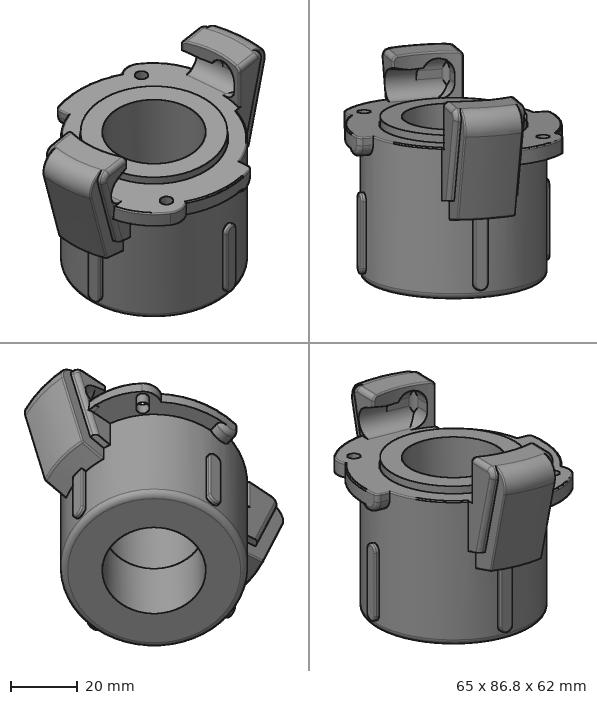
import cadquery as cq
import math

barrel_dia = 56.0
barrel_radius = barrel_dia / 2
barrel_bottom_round = 2.1
flange_top = 47.1
flange_thickness = 4.8
flange_bottom = flange_top - flange_thickness
flange_edge_round = 0.4

sleeve_bore_dia = 31.0
sleeve_dia = 44.0
seat_dia = 44.5
seat_floor = 24.3
sleeve_top = 49.5

lobe_dia = 65.0
lobe_radius = lobe_dia / 2
tab_end_y = -6.9
stop_radius = 4.1
stop_center_y = tab_end_y + stop_radius
stop_center_z = 44.5
tab_end_round = 1.65
tab_sector_angle = 140.0
ear_hole_dia = 4.0
ear_hole_x = -21.6
ear_hole_y = 21.5
ear_radius = 5.9
ear_sweep_center_x = -7.2
ear_sweep_center_y = 8.9
ear_end_x = 0.0

claw_top = 62.0
claw_inner_radius = 29.25
claw_root_radius = 26.0
claw_tilt = math.radians(15)
claw_top_round = 0.5
cheek_width = 22.3
cheek_round_center = 37.3
cheek_round = 2.8
cheek_bottom = 32.0
cheek_side_round = 1.65
strap_width = 18.1
strap_outer_radius = 43.4
strap_round = 5.9
strap_round_center = strap_outer_radius - strap_round
strap_bottom = 26.9
strap_bottom_round = 0.9
strap_side_round = 0.5

groove_radius = 4.95
groove_center_y = 30.1
groove_center_z = flange_top + groove_radius
groove_end_x = 3.65
groove_roof_angle = math.radians(21)
pocket_rise = 2.8
pocket_corner_round = 2.0

rib_width = 4.5
rib_outer_radius = 29.5
rib_bottom = 2.95
rib_top = 28.0
rib_edge_round = 0.5
rib_angles = (0, 90, 180, 270)

overlap = 0.9
half_turn = 180


def half_turn_copy(shape):
    """The same shape turned half a turn about the barrel axis."""
    return shape.rotate((0, 0, 0), (0, 0, 1), half_turn)


def disc(diameter, bottom, top):
    """Upright round disc between two heights."""
    return cq.Workplane("XY").workplane(offset=bottom).circle(diameter / 2).extrude(top - bottom)


def polar(radius, degrees):
    """Plan point at a radius and angle about the barrel axis."""
    angle = math.radians(degrees)
    return (radius * math.cos(angle), radius * math.sin(angle))


def tab():
    """Flange tab: a sector of the lobe circle that ends in a stop with a round underside."""
    stop_back_y = stop_center_y + math.sqrt(stop_radius**2 - (stop_center_z - flange_bottom) ** 2)
    side = (
        cq.Workplane("YZ")
        .moveTo(tab_end_y, flange_top)
        .lineTo(tab_end_y, stop_center_z)
        .threePointArc((stop_center_y, stop_center_z - stop_radius), (stop_back_y, flange_bottom))
        .lineTo(lobe_radius, flange_bottom)
        .lineTo(lobe_radius, flange_top)
        .close()
        .extrude(-lobe_radius - overlap)
    )
    sector = (
        cq.Workplane("XY")
        .moveTo(0, 0)
        .lineTo(0, tab_end_y)
        .lineTo(-2 * lobe_radius, tab_end_y)
        .lineTo(*polar(2 * lobe_radius, tab_sector_angle))
        .close()
        .extrude(flange_top)
    )
    body = side.intersect(disc(lobe_dia, 0, flange_top)).intersect(sector)
    end_corner_x = -math.sqrt(lobe_radius**2 - tab_end_y**2)
    end_edges = cq.selectors.BoxSelector(
        (-lobe_radius - overlap, tab_end_y - overlap, 0),
        (end_corner_x + overlap, stop_center_y + overlap, flange_top - overlap),
    )
    return body.edges(end_edges).fillet(tab_end_round)


def ear():
    """Flange ear around the small hole: a round nose running into a wide arc."""
    reach_x = ear_hole_x - ear_sweep_center_x
    reach_y = ear_hole_y - ear_sweep_center_y
    reach = math.hypot(reach_x, reach_y)
    sweep_radius = reach + ear_radius

    def on_sweep(x):
        return (x, ear_sweep_center_y + math.sqrt(sweep_radius**2 - (x - ear_sweep_center_x) ** 2))

    tangent_x = ear_sweep_center_x + reach_x * sweep_radius / reach
    nose = cq.Workplane("XY").workplane(offset=flange_bottom).center(ear_hole_x, ear_hole_y)
    nose = nose.circle(ear_radius).extrude(flange_thickness)
    sweep = (
        cq.Workplane("XY").workplane(offset=flange_bottom)
        .moveTo(0, 0)
        .lineTo(*on_sweep(tangent_x))
        .threePointArc(on_sweep((tangent_x + ear_end_x) / 2), on_sweep(ear_end_x))
        .close()
        .extrude(flange_thickness)
    )
    return nose.union(sweep)


def round_rim(shape):
    """Round the upper rim of a flange piece."""
    return shape.faces(">Z").edges().fillet(flange_edge_round)


def flanged_barrel():
    """Barrel with a rounded lower edge, carrying the flange tabs and ears at its top."""
    barrel = round_rim(disc(barrel_dia, 0, flange_top))
    body = barrel.faces("<Z").edges().fillet(barrel_bottom_round)
    for lobe in (round_rim(tab()), round_rim(ear())):
        body = body.union(lobe).union(half_turn_copy(lobe))
    claw_foot = cq.Workplane("XY").workplane(offset=flange_bottom)
    claw_foot = claw_foot.rect(cheek_width, 2 * claw_inner_radius).extrude(flange_thickness)
    return body.union(claw_foot)


def claw_section(round_center, round_radius, bottom):
    """Solid of revolution: upright inner wall, rounded top, tilted outer wall and underside."""
    round_z = claw_top - round_radius
    slope = math.tan(claw_tilt)
    tangent_r = round_center + round_radius * math.cos(claw_tilt)
    tangent_z = round_z - round_radius * math.sin(claw_tilt)
    mid_angle = (math.pi / 2 - claw_tilt) / 2
    arc_mid = (
        round_center + round_radius * math.cos(mid_angle),
        round_z + round_radius * math.sin(mid_angle),
    )
    corner_r = tangent_r - (tangent_z - bottom) * slope
    root_z = bottom - (corner_r - claw_root_radius) * slope
    return (
        cq.Workplane("YZ")
        .moveTo(claw_inner_radius, claw_top)
        .lineTo(round_center, claw_top)
        .threePointArc(arc_mid, (tangent_r, tangent_z))
        .lineTo(corner_r, bottom)
        .lineTo(claw_root_radius, root_z)
        .lineTo(claw_root_radius, flange_top)
        .lineTo(claw_inner_radius, flange_top)
        .close()
        .revolve(360, (0, 0, 0), (0, 1, 0))
    )


def slab(width):
    """Upright slab of the given width on the +Y side."""
    return cq.Workplane("XY").box(width, 2 * strap_outer_radius, claw_top, centered=(True, False, False))


def groove_cutter():
    """Locking groove along a claw, open at -X, with a tall pocket at its closed end."""
    mouth_y = claw_root_radius
    mouth_x = -cheek_width / 2
    wall_x = groove_end_x + groove_radius
    floor_y = groove_center_y + groove_radius
    roof_z = groove_center_z + groove_radius
    diagonal = groove_radius * math.sqrt(0.5)

    channel = (
        cq.Workplane("YZ").workplane(offset=mouth_x - overlap)
        .moveTo(mouth_y, flange_top)
        .lineTo(groove_center_y, flange_top)
        .threePointArc((floor_y, groove_center_z), (groove_center_y, roof_z))
        .lineTo(mouth_y, roof_z)
        .close()
        .extrude(groove_end_x - mouth_x + overlap)
    )

    pocket_height = pocket_rise + 2 * groove_radius
    pocket_middle = flange_top + pocket_height / 2
    pocket_high_z = groove_center_z + pocket_rise
    pocket = (
        cq.Workplane("XZ").center(groove_end_x, pocket_middle)
        .slot2D(pocket_height, 2 * groove_radius, 90)
        .extrude(-floor_y)
    )
    pocket_side = (
        cq.Workplane("YZ").workplane(offset=-wall_x)
        .moveTo(mouth_y, flange_top)
        .lineTo(groove_center_y, flange_top)
        .threePointArc(
            (groove_center_y + diagonal, groove_center_z - diagonal),
            (floor_y, groove_center_z),
        )
        .lineTo(floor_y, pocket_high_z)
        .threePointArc(
            (groove_center_y + diagonal, pocket_high_z + diagonal),
            (groove_center_y, roof_z + pocket_rise),
        )
        .lineTo(mouth_y, roof_z + pocket_rise)
        .close()
        .extrude(2 * wall_x)
    )
    corner_block = (
        cq.Workplane("XY").box(2 * wall_x, floor_y, claw_top, centered=(True, False, False))
        .edges("|Z and >X and >Y").fillet(pocket_corner_round)
    )
    pocket = pocket.intersect(pocket_side).intersect(corner_block)
    return channel.union(pocket)


def groove_flare():
    """Wedge that opens the groove roof towards its mouth, fading out at the pocket."""
    mouth_x = -cheek_width / 2
    front_y = claw_root_radius
    tangent_y = groove_center_y + groove_radius * math.sin(groove_roof_angle)
    tangent_z = groove_center_z + groove_radius * math.cos(groove_roof_angle)
    mouth_z = tangent_z + (tangent_y - front_y) * math.tan(groove_roof_angle)
    back = cq.Vector(mouth_x, tangent_y, tangent_z)
    top = cq.Vector(mouth_x, front_y, mouth_z)
    low = cq.Vector(mouth_x, front_y, tangent_z)
    fade = cq.Vector(groove_end_x, front_y, tangent_z)
    corners = [(back, top, low), (back, top, fade), (top, low, fade), (low, back, fade)]
    faces = [cq.Face.makeFromWires(cq.Wire.makePolygon(corner, close=True)) for corner in corners]
    return cq.Workplane(cq.Solid.makeSolid(cq.Shell.makeShell(faces)))


def claw():
    """Hooked claw: a wide inner cheek, a narrower outer strap and the locking groove."""
    cheek = claw_section(cheek_round_center, cheek_round, cheek_bottom).intersect(slab(cheek_width))
    cheek_outer = cq.selectors.BoxSelector(
        (-cheek_width, claw_inner_radius, cheek_bottom + overlap),
        (cheek_width, strap_outer_radius, claw_top + overlap),
    )
    cheek = cheek.faces("<X or >X").edges(cheek_outer).fillet(cheek_side_round)

    strap_corner = cq.selectors.NearestToPointSelector((0, strap_outer_radius, strap_bottom))
    strap_outer = cq.selectors.BoxSelector(
        (-strap_width, claw_inner_radius + overlap, strap_bottom - 2 * overlap),
        (strap_width, strap_outer_radius + overlap, claw_top + overlap),
    )
    strap = claw_section(strap_round_center, strap_round, strap_bottom).intersect(slab(strap_width))
    strap = strap.edges(strap_corner).fillet(strap_bottom_round)
    strap = strap.faces("<X or >X").edges(strap_outer).fillet(strap_side_round)

    hook = cheek.union(strap)
    hook = hook.cut(groove_cutter()).cut(groove_flare())
    inner_top_edge = cq.selectors.NearestToPointSelector((0, claw_inner_radius, claw_top))
    return hook.edges(inner_top_edge).fillet(claw_top_round)


def rib():
    """Upright grip rib with round ends, on the -Y side of the barrel."""
    return (
        cq.Workplane("XZ")
        .center(0, (rib_top + rib_bottom) / 2)
        .slot2D(rib_top - rib_bottom, rib_width, 90)
        .extrude(rib_outer_radius)
        .faces("<Y").edges().fillet(rib_edge_round)
    )


def make_housing():
    """Coupling body with flange lobes, claws, grip ribs and the sleeve seat."""
    body = flanged_barrel()
    one_claw = claw()
    body = body.union(one_claw).union(half_turn_copy(one_claw))
    for angle in rib_angles:
        body = body.union(rib().rotate((0, 0, 0), (0, 0, 1), angle))
    body = body.cut(disc(sleeve_bore_dia, -overlap, claw_top))
    body = body.cut(disc(seat_dia, seat_floor, claw_top))
    ear_hole = disc(ear_hole_dia, 0, claw_top).translate((ear_hole_x, ear_hole_y, 0))
    return body.cut(ear_hole).cut(half_turn_copy(ear_hole))


def make_sleeve():
    """Plain seal sleeve standing in the housing seat and proud of the flange."""
    return disc(sleeve_dia, seat_floor, sleeve_top).cut(disc(sleeve_bore_dia, 0, claw_top))


housing = make_housing()
sleeve = make_sleeve()
result = cq.Compound.makeCompound([housing.val(), sleeve.val()])